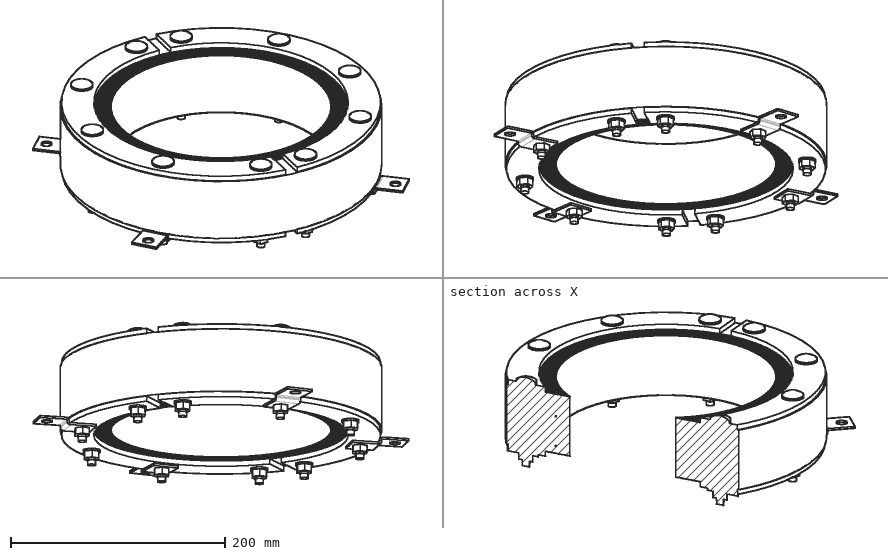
import cadquery as cq
import math

SLEEVE_OUTER_RADIUS = 150.0
SLEEVE_HEIGHT = 60.0
BORE_RADIUS = 102.5

LAYER_THICKNESS = 1.0
LAYER_RECESS = 0.1

PLATE_OUTER_RADIUS = 148.75
PLATE_INNER_RADIUS = 118.5
PLATE_THICKNESS = 5.0
PLATE_GAP = 12.0

OVERALL_HEIGHT = 89.77
BOLT_CIRCLE_RADIUS = (PLATE_INNER_RADIUS + PLATE_OUTER_RADIUS) / 2
FIRST_BOLT_ANGLE = 10.0
BOLT_ANGLE_STEP = 40.0
BOLTS_PER_HALF = 5
BOLT_DIAMETER = 8.0
BOLT_TIP_DIAMETER = 7.5
BOLT_TIP_LENGTH = 4.0
HEAD_DIAMETER = 20.65
HEAD_HEIGHT = 5.77
HEAD_RIM_HEIGHT = 2.0
HEAD_COLLAR_DIAMETER = 20.7
HEAD_COLLAR_HEIGHT = 1.0
WASHER_DIAMETER = 16.0
WASHER_THICKNESS = 1.6
NUT_ACROSS_FLATS = 13.0
NUT_HEIGHT = 6.5

STRAP_BOLT_INDICES = (1, 3)
STRAP_WIDTH = 25.0
STRAP_THICKNESS = 2.0
STRAP_INNER_RADIUS = 123.5
STRAP_OUTER_RADIUS = 177.5
STRAP_WALL_RADIUS = 149.5
STRAP_HOLE_RADIUS = 167.5
STRAP_HOLE_DIAMETER = 10.0
BEND_INNER_RADIUS = 1.0
BEND_OUTER_RADIUS = BEND_INNER_RADIUS + STRAP_THICKNESS

PLATE_BOTTOM = -PLATE_THICKNESS
PLATE_TOP = SLEEVE_HEIGHT + PLATE_THICKNESS
NUT_TOP = PLATE_BOTTOM - WASHER_THICKNESS
NUT_BOTTOM = NUT_TOP - NUT_HEIGHT
HEAD_TOP = PLATE_TOP + HEAD_HEIGHT
BOLT_BOTTOM = HEAD_TOP - OVERALL_HEIGHT
BOLT_TIP_TOP = BOLT_BOTTOM + BOLT_TIP_LENGTH


def ring(outer_radius, inner_radius, bottom, height):
    return cq.Workplane("XY", origin=(0, 0, bottom)).circle(outer_radius).circle(inner_radius).extrude(height)


def disc(diameter, bottom, top):
    return cq.Workplane("XY", origin=(0, 0, bottom)).circle(diameter / 2).extrude(top - bottom)


def make_sleeve():
    """Thick ring whose bore lining shows its thin layers on both end faces."""
    sleeve = ring(SLEEVE_OUTER_RADIUS, BORE_RADIUS, 0, SLEEVE_HEIGHT)
    layer_count = round((PLATE_INNER_RADIUS - BORE_RADIUS) / LAYER_THICKNESS)
    for index in range(1, layer_count, 2):
        inner_radius = BORE_RADIUS + index * LAYER_THICKNESS
        outer_radius = inner_radius + LAYER_THICKNESS
        for bottom in (0, SLEEVE_HEIGHT - LAYER_RECESS):
            sleeve = sleeve.cut(ring(outer_radius, inner_radius, bottom, LAYER_RECESS))
    return sleeve


def make_cover_plates(bottom):
    """Ring plate split into two halves by a straight gap along X."""
    plates = ring(PLATE_OUTER_RADIUS, PLATE_INNER_RADIUS, bottom, PLATE_THICKNESS)
    gap = (
        cq.Workplane("XY", origin=(0, 0, bottom))
        .rect(2 * SLEEVE_OUTER_RADIUS, PLATE_GAP)
        .extrude(PLATE_THICKNESS)
    )
    return plates.cut(gap)


def make_bolt():
    """Domed bolt with its washer and nut, on the Z axis."""
    rim_top = PLATE_TOP + HEAD_RIM_HEIGHT
    rim_radius = HEAD_DIAMETER / 2
    dome_height = HEAD_TOP - rim_top
    dome_radius = (rim_radius**2 + dome_height**2) / (2 * dome_height)
    dome_sphere = cq.Workplane("YZ").sphere(dome_radius).translate((0, 0, HEAD_TOP - dome_radius))
    head = disc(HEAD_DIAMETER, PLATE_TOP, HEAD_TOP).intersect(dome_sphere)
    collar = disc(HEAD_COLLAR_DIAMETER, PLATE_TOP, PLATE_TOP + HEAD_COLLAR_HEIGHT)
    washer = disc(WASHER_DIAMETER, NUT_TOP, PLATE_BOTTOM)
    nut = (
        cq.Workplane("XY", origin=(0, 0, NUT_BOTTOM))
        .polygon(6, NUT_ACROSS_FLATS, circumscribed=True)
        .extrude(NUT_HEIGHT)
    )
    shank = disc(BOLT_DIAMETER, BOLT_TIP_TOP, PLATE_TOP)
    tip = disc(BOLT_TIP_DIAMETER, BOLT_BOTTOM, BOLT_TIP_TOP)
    return shank.union(tip).union(nut).union(washer).union(head).union(collar)


def make_strap():
    """Strap along X, stepping up from under the lower plate to the underside of the sleeve."""
    wall_outer_radius = STRAP_WALL_RADIUS + STRAP_THICKNESS
    lower_bottom = PLATE_BOTTOM - STRAP_THICKNESS
    strap = (
        cq.Workplane("XZ")
        .moveTo(STRAP_INNER_RADIUS, lower_bottom)
        .lineTo(wall_outer_radius, lower_bottom)
        .lineTo(wall_outer_radius, -STRAP_THICKNESS)
        .lineTo(STRAP_OUTER_RADIUS, -STRAP_THICKNESS)
        .lineTo(STRAP_OUTER_RADIUS, 0)
        .lineTo(STRAP_WALL_RADIUS, 0)
        .lineTo(STRAP_WALL_RADIUS, PLATE_BOTTOM)
        .lineTo(STRAP_INNER_RADIUS, PLATE_BOTTOM)
        .close()
        .extrude(STRAP_WIDTH / 2, both=True)
    )

    def bend_edge(radius, level):
        return cq.selectors.NearestToPointSelector((radius, 0, level))

    for radius, level in ((wall_outer_radius, lower_bottom), (STRAP_WALL_RADIUS, 0)):
        strap = strap.edges("|Y").edges(bend_edge(radius, level)).fillet(BEND_OUTER_RADIUS)
    for radius, level in ((wall_outer_radius, -STRAP_THICKNESS), (STRAP_WALL_RADIUS, PLATE_BOTTOM)):
        strap = strap.edges("|Y").edges(bend_edge(radius, level)).fillet(BEND_INNER_RADIUS)

    hole = (
        cq.Workplane("XY", origin=(STRAP_HOLE_RADIUS, 0, -STRAP_THICKNESS))
        .circle(STRAP_HOLE_DIAMETER / 2)
        .extrude(STRAP_THICKNESS)
    )
    return strap.cut(hole)


def turned(shape, angle):
    return shape.rotate((0, 0, 0), (0, 0, 1), angle)


def build_part():
    part = make_sleeve()
    part = part.union(make_cover_plates(PLATE_BOTTOM))
    part = part.union(make_cover_plates(SLEEVE_HEIGHT))

    bolt = make_bolt()
    strap = make_strap()
    for half_angle in (0, 180):
        for index in range(BOLTS_PER_HALF):
            angle = half_angle + FIRST_BOLT_ANGLE + index * BOLT_ANGLE_STEP
            x = BOLT_CIRCLE_RADIUS * math.cos(math.radians(angle))
            y = BOLT_CIRCLE_RADIUS * math.sin(math.radians(angle))
            if index in STRAP_BOLT_INDICES:
                part = part.union(turned(strap, angle))
            part = part.union(bolt.translate((x, y, 0)))
    return part


result = build_part()